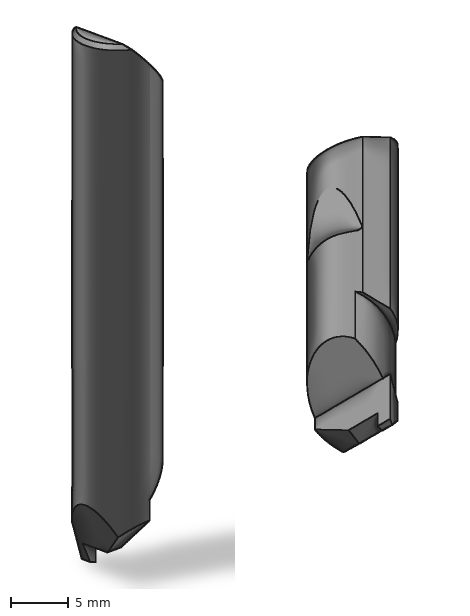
import cadquery as cq
import math

length = 50.8
radius = 3.95
oversize = 2 * radius

shank_cut_depth = 6.2
end_chamfer_height = 0.45
end_chamfer_width = 0.35

notch_bottom = 29.15
notch_top = 37.85
notch_depth = 1.2

flat_angle = 42.6

relief_bottom = 7.7
relief_top = 19.0
relief_depth = 0.75
relief_half_width = 3.15

tip_start = 7.2
tip_thickness = 0.7
tip_rise = 0.2
tooth_width = 1.3
tooth_length = 2.25
corner_x = 0.4


def make_shank():
    return (
        cq.Workplane("XY").circle(radius).extrude(length)
        .faces(">Z").chamfer(end_chamfer_height, end_chamfer_width)
    )


def side_prism(points):
    """Prism across the whole width in X from (Y, Z) points."""
    return cq.Workplane("YZ").polyline(points).close().extrude(oversize, both=True)


def shank_end_cut():
    inner_y = radius - shank_cut_depth
    return side_prism([
        (inner_y, length),
        (radius + oversize, length - shank_cut_depth - oversize),
        (radius + oversize, length),
    ])


def clamping_notch():
    floor_y = radius - notch_depth
    slope = math.atan2(notch_depth, notch_top - notch_bottom - notch_depth)
    center_z = notch_bottom + notch_depth
    tangent_y = radius - notch_depth * math.cos(slope)
    tangent_z = center_z + notch_depth * math.sin(slope)
    return (
        cq.Workplane("YZ")
        .moveTo(radius, notch_bottom)
        .threePointArc((floor_y, center_z), (tangent_y, tangent_z))
        .lineTo(radius, notch_top)
        .close()
        .extrude(oversize, both=True)
    )


def flat_cut(side, bottom, top):
    """Material outside the chord on the +Y (side = 1) or -Y (side = -1) half."""
    angle = math.radians(flat_angle)
    chord_end = (-radius * math.cos(angle), side * radius * math.sin(angle))
    return (
        cq.Workplane("XY").workplane(offset=bottom)
        .moveTo(-radius, 0)
        .lineTo(*chord_end)
        .lineTo(-oversize, chord_end[1])
        .lineTo(-oversize, 0)
        .close()
        .extrude(top - bottom)
    )


def relief_cut():
    edge_x = -math.sqrt(radius**2 - relief_half_width**2)
    return (
        cq.Workplane("XY").workplane(offset=relief_bottom)
        .moveTo(edge_x, -relief_half_width)
        .threePointArc((relief_depth - radius, 0), (edge_x, relief_half_width))
        .lineTo(-oversize, relief_half_width)
        .lineTo(-oversize, -relief_half_width)
        .close()
        .extrude(relief_top - relief_bottom)
    )


def back_cut():
    """Leaves only the -Y half below the cutting face, ending in a 45 degree ramp."""
    return side_prism([
        (0, 0),
        (0, relief_bottom),
        (radius, relief_bottom + radius),
        (oversize, relief_bottom + radius),
        (oversize, 0),
    ])


def tip_front_cut():
    return side_prism([
        (0, 0),
        (-tip_thickness, tip_rise),
        (-radius, tip_start),
        (-oversize, tip_start),
        (-oversize, 0),
    ])


def tooth_side_cut():
    """Shoulder beside the tooth, with a 45 degree corner on the +X side."""
    tooth_x = tooth_width - radius
    corner_z = tooth_length + radius - corner_x
    return (
        cq.Workplane("XZ")
        .polyline([
            (tooth_x, 0),
            (tooth_x, tooth_length),
            (corner_x, tooth_length),
            (radius, corner_z),
            (oversize, corner_z),
            (oversize, 0),
        ])
        .close()
        .extrude(oversize, both=True)
    )


result = (
    make_shank()
    .cut(shank_end_cut())
    .cut(clamping_notch())
    .cut(flat_cut(1, relief_bottom, length))
    .cut(flat_cut(-1, 0, relief_bottom))
    .cut(relief_cut())
    .cut(back_cut())
    .cut(tip_front_cut())
    .cut(tooth_side_cut())
)